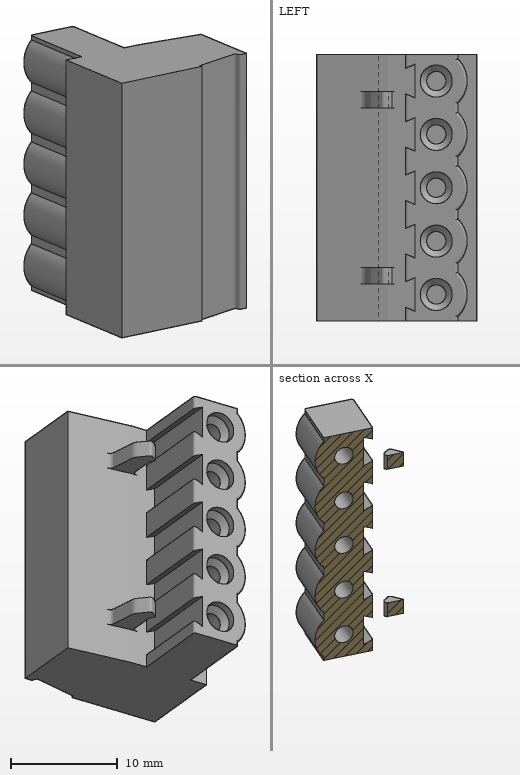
import cadquery as cq

HEIGHT = 25.0
TOTAL_LENGTH = 17.3
BODY_DEPTH = 15.0

BODY_LENGTH = 9.0
BODY_LEFT = TOTAL_LENGTH - BODY_LENGTH
SLOPE_START_Y = 8.35
SLOPE_TOP_X = 9.0
LEDGE_Y = 9.22
LEDGE_X = 17.0
LIP_ROOT_X = 15.88
LIP_ROOT_Y = 14.0
LIP_X = 16.4
LIP_Y = 14.25
LIP_ROUND = 0.2

POLE_COUNT = 5
PITCH = HEIGHT / POLE_COUNT
BARREL_Y = 3.8
BARREL_RADIUS = 2.9
WEB_Y = 1.78
PLUG_TOP_Y = 6.68
PLUG_ROUND = 0.25

MOUTH_DIAMETER = 3.0
BORE_DIAMETER = 1.8
MOUTH_DEPTH = 0.8
CONE_END = MOUTH_DEPTH + (MOUTH_DIAMETER - BORE_DIAMETER) / 2
BORE_END = BODY_LEFT

KEYWAY_MOUTH = 2.4
KEYWAY_FLOOR = 3.15
KEYWAY_DEPTH = 0.9

LATCH_WIDTH = 1.58
LATCH_INSET = 4.25
LATCH_UNDERSIDE_Y = 8.25
LATCH_TOP_ROOT = (8.52, 10.48)
LATCH_KNEE = (5.4, 9.92)
LATCH_TIP = (4.2, 8.72)
LATCH_BARB = (4.9, 7.8)
LATCH_BARB_END_X = 5.38
LATCH_INNER = (8.8, 10.52)
LATCH_ROOT_ROUND = 0.5
LATCH_KNEE_ROUND = 0.88
LATCH_TIP_ROUND = 0.3
LATCH_BARB_ROUND = 0.25

POLE_HEIGHTS = [(pole + 0.5) * PITCH for pole in range(POLE_COUNT)]


def round_upright_edge(part, corner, z, radius):
    """Round the Z-parallel edge closest to the given XY corner at height z."""
    nearest = cq.selectors.NearestToPointSelector((*corner, z))
    return part.edges("|Z").edges(nearest).fillet(radius)


def make_body():
    """Tapered block with a ledge and an overhanging lip on its back."""
    body = (
        cq.Workplane("XY")
        .moveTo(BODY_LEFT, 0)
        .lineTo(TOTAL_LENGTH, 0)
        .lineTo(TOTAL_LENGTH, LEDGE_Y)
        .lineTo(LEDGE_X, LEDGE_Y)
        .lineTo(LIP_ROOT_X, LIP_ROOT_Y)
        .lineTo(LIP_X, LIP_Y)
        .lineTo(LIP_X, BODY_DEPTH)
        .lineTo(SLOPE_TOP_X, BODY_DEPTH)
        .lineTo(BODY_LEFT, SLOPE_START_Y)
        .close()
        .extrude(HEIGHT)
    )
    for corner in ((LIP_ROOT_X, LIP_ROOT_Y), (LIP_X, LIP_Y)):
        body = round_upright_edge(body, corner, HEIGHT / 2, LIP_ROUND)
    return body


def make_barrel(z):
    """Cylinder with a rounded free end, trimmed to the lower half of its own pitch."""
    barrel = (
        cq.Workplane("YZ")
        .center(BARREL_Y, z)
        .circle(BARREL_RADIUS)
        .extrude(BODY_LEFT)
        .faces("<X")
        .edges()
        .fillet(PLUG_ROUND)
    )
    pole_space = cq.Workplane("XY").box(BODY_LEFT, BARREL_Y, PITCH, centered=False)
    return barrel.intersect(pole_space.translate((0, 0, z - PITCH / 2)))


def make_plug():
    """Flat-topped bar with one half-exposed barrel per pole, rounded at its free end."""
    plug = (
        cq.Workplane("XY")
        .box(BODY_LEFT, PLUG_TOP_Y - WEB_Y, HEIGHT, centered=False)
        .translate((0, WEB_Y, 0))
        .edges("<X and |Z")
        .fillet(PLUG_ROUND)
    )
    for z in POLE_HEIGHTS:
        plug = plug.union(make_barrel(z))
    for z in POLE_HEIGHTS:
        plug = plug.cut(make_keyway(z)).cut(make_contact_opening(z))
    return plug


def make_keyway(z):
    """Dovetail groove, wider at its floor, open along the top of the plug."""
    floor_y = PLUG_TOP_Y - KEYWAY_DEPTH
    return (
        cq.Workplane("YZ")
        .polyline([
            (PLUG_TOP_Y, z - KEYWAY_MOUTH / 2),
            (floor_y, z - KEYWAY_FLOOR / 2),
            (floor_y, z + KEYWAY_FLOOR / 2),
            (PLUG_TOP_Y, z + KEYWAY_MOUTH / 2),
        ])
        .close()
        .extrude(BODY_LEFT)
    )


def make_contact_opening(z):
    """Straight mouth, conical lead-in and narrow bore, made as one turned shape."""
    mouth_radius = MOUTH_DIAMETER / 2
    bore_radius = BORE_DIAMETER / 2
    return (
        cq.Workplane("XY")
        .polyline([
            (0, 0),
            (0, mouth_radius),
            (MOUTH_DEPTH, mouth_radius),
            (CONE_END, bore_radius),
            (BORE_END, bore_radius),
            (BORE_END, 0),
        ])
        .close()
        .revolve(360, (0, 0), (1, 0))
        .translate((0, BARREL_Y, z))
    )


def make_latch(z):
    """Barbed hook over the plug; its inner end is sunk into the body."""
    latch = (
        cq.Workplane("XY")
        .polyline([
            LATCH_INNER,
            LATCH_KNEE,
            LATCH_TIP,
            LATCH_BARB,
            (LATCH_BARB_END_X, LATCH_UNDERSIDE_Y),
            (LATCH_INNER[0], LATCH_UNDERSIDE_Y),
        ])
        .close()
        .extrude(LATCH_WIDTH)
        .translate((0, 0, z - LATCH_WIDTH / 2))
    )
    latch = round_upright_edge(latch, LATCH_KNEE, z, LATCH_KNEE_ROUND)
    latch = round_upright_edge(latch, LATCH_TIP, z, LATCH_TIP_ROUND)
    return round_upright_edge(latch, LATCH_BARB, z, LATCH_BARB_ROUND)


def add_latch(part, z):
    """Join a hook to the body and round the two corners at its root."""
    part = part.union(make_latch(z))
    for corner in (LATCH_TOP_ROOT, (BODY_LEFT, LATCH_UNDERSIDE_Y)):
        part = round_upright_edge(part, corner, z, LATCH_ROOT_ROUND)
    return part


result = make_body().union(make_plug())
for z in (LATCH_INSET, HEIGHT - LATCH_INSET):
    result = add_latch(result, z)